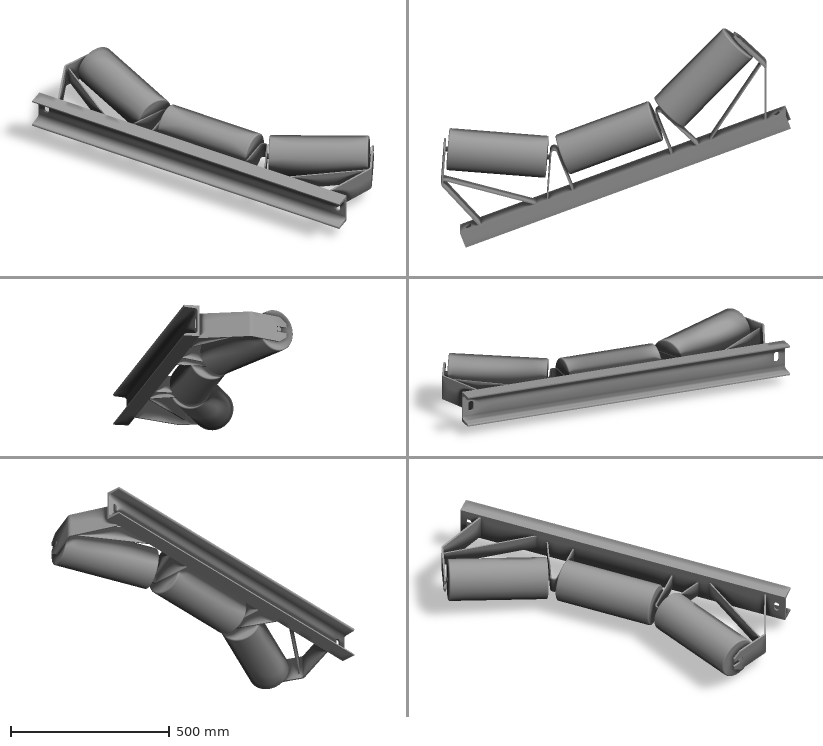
import cadquery as cq
import math


CHANNEL_LENGTH = 1100.0
CHANNEL_HEIGHT = 100.0
CHANNEL_DEPTH = 50.0
WEB_THICKNESS = 6.0
TOE_THICKNESS = 7.0
ROOT_THICKNESS = 10.0
ROOT_RADIUS = 9.0
TOE_RADIUS = 4.0
MOUNT_SLOT_WIDTH = 18.0
MOUNT_SLOT_HEIGHT = 34.0
MOUNT_SLOT_INSET = 29.0

ROLLER_DIAMETER = 133.0
ROLLER_LENGTH = 315.0
ROLLER_EDGE_RADIUS = 4.0
AXLE_DIAMETER = 16.0
TROUGH_ANGLE = 25.0
FORWARD_TILT = 2.2
CENTRE_ROLLER_Y = 118.0
CENTRE_ROLLER_Z = -14.0
WING_ROLLER_X = -349.0
WING_ROLLER_Y = 195.0
WING_ROLLER_Z = -7.0

AXLE_SLOT_WIDTH = 18.0

OUTER_HEIGHT = 80.0
OUTER_THICKNESS = 6.0
OUTER_GAP = 8.0
OUTER_BEND_Y = 167.0
OUTER_BEND_RADIUS = 12.0
OUTER_FOOT_X = -483.0
OUTER_TIP_OVERHANG = 29.0
TIP_CHAMFER_LENGTH = 28.0
TIP_CHAMFER_HEIGHT = 18.0

INNER_HEIGHT = 54.0
INNER_THICKNESS = 4.0
INNER_GAP = 8.0
INNER_BEND_RADIUS = 11.0

STRUT_THICKNESS = 4.0
STRUT_HEIGHT = 50.0
STRUT_FOOT_X = -296.0
STRUT_TOP_Y = 179.0

TROUGH = math.radians(TROUGH_ANGLE)
AXIS_DIR = cq.Vector(-math.cos(TROUGH), math.sin(TROUGH), 0)
FACE_DIR = cq.Vector(math.sin(TROUGH), math.cos(TROUGH), 0)
WING_CENTRE = cq.Vector(WING_ROLLER_X, WING_ROLLER_Y, 0)
OUTER_AXLE_LENGTH = OUTER_GAP + OUTER_THICKNESS
INNER_AXLE_LENGTH = INNER_GAP + INNER_THICKNESS


def mirrored(body):
    """The matching body on the right-hand side."""
    return body.mirror("YZ")


def upright(points, height):
    """Extrude a closed XY outline along Z, centred on Z = 0."""
    outline = [(p.x, p.y) for p in points]
    return cq.Workplane("XY").polyline(outline).close().extrude(height / 2, both=True)


def make_channel():
    """Channel with tapered flanges and a mounting slot at each end of the web."""
    half = CHANNEL_HEIGHT / 2
    web_face = -WEB_THICKNESS
    profile = [
        (0, -half),
        (-CHANNEL_DEPTH, -half),
        (-CHANNEL_DEPTH, TOE_THICKNESS - half),
        (web_face, ROOT_THICKNESS - half),
        (web_face, half - ROOT_THICKNESS),
        (-CHANNEL_DEPTH, half - TOE_THICKNESS),
        (-CHANNEL_DEPTH, half),
        (0, half),
    ]
    body = cq.Workplane("YZ").polyline(profile).close().extrude(CHANNEL_LENGTH / 2, both=True)
    for side in (-1, 1):
        root = (0, web_face, side * (half - ROOT_THICKNESS))
        toe = (0, -CHANNEL_DEPTH, side * (half - TOE_THICKNESS))
        body = body.edges(cq.selectors.NearestToPointSelector(root)).fillet(ROOT_RADIUS)
        body = body.edges(cq.selectors.NearestToPointSelector(toe)).fillet(TOE_RADIUS)
    slot_x = CHANNEL_LENGTH / 2 - MOUNT_SLOT_INSET
    slots = (
        cq.Workplane("XZ")
        .pushPoints([(-slot_x, 0), (slot_x, 0)])
        .slot2D(MOUNT_SLOT_HEIGHT, MOUNT_SLOT_WIDTH, 90)
        .extrude(CHANNEL_DEPTH)
    )
    return body.cut(slots)


def make_roller(left_axle, right_axle):
    """Roller along X about the origin, with axle ends of the given lengths."""
    shell = (
        cq.Workplane("YZ")
        .workplane(offset=-ROLLER_LENGTH / 2)
        .circle(ROLLER_DIAMETER / 2)
        .extrude(ROLLER_LENGTH)
        .edges()
        .fillet(ROLLER_EDGE_RADIUS)
    )
    axle = (
        cq.Workplane("YZ")
        .workplane(offset=-ROLLER_LENGTH / 2 - left_axle)
        .circle(AXLE_DIAMETER / 2)
        .extrude(left_axle + ROLLER_LENGTH + right_axle)
    )
    return shell.union(axle)


def make_centre_roller():
    roller = make_roller(INNER_AXLE_LENGTH, INNER_AXLE_LENGTH)
    return roller.translate((0, CENTRE_ROLLER_Y, CENTRE_ROLLER_Z))


def make_wing_roller():
    """Left wing roller, raised at its outer end and tilted forward."""
    roller = make_roller(OUTER_AXLE_LENGTH, INNER_AXLE_LENGTH)
    roller = roller.rotate((0, 0, 0), (0, 1, 0), FORWARD_TILT)
    roller = roller.rotate((0, 0, 0), (0, 0, 1), -TROUGH_ANGLE)
    return roller.translate((WING_ROLLER_X, WING_ROLLER_Y, WING_ROLLER_Z))


def wing_plane(offset):
    """Plane across the left wing axle, `offset` outward of the roller centre; local X is Z."""
    origin = WING_CENTRE + AXIS_DIR * offset
    return cq.Plane(origin=origin.toTuple(), xDir=(0, 0, 1), normal=AXIS_DIR.toTuple())


outer_mid = WING_CENTRE + AXIS_DIR * (ROLLER_LENGTH / 2 + OUTER_GAP + OUTER_THICKNESS / 2)
outer_tip = outer_mid + FACE_DIR * OUTER_TIP_OVERHANG
outer_bend = outer_mid + FACE_DIR * ((OUTER_BEND_Y - outer_mid.y) / FACE_DIR.y)
outer_foot = cq.Vector(OUTER_FOOT_X, 0, 0)


def make_outer_bracket():
    """Left outer bracket: a leaning leg bent inward into a plate slotted for the axle."""
    leg_dir = (outer_bend - outer_foot).normalized()
    leg_angle = math.atan2(-leg_dir.x, leg_dir.y)
    half = OUTER_THICKNESS / 2
    foot_half = cq.Vector(half / math.cos(leg_angle), 0, 0)
    bend_turn = TROUGH + leg_angle
    miter_dir = (AXIS_DIR + cq.Vector(-leg_dir.y, leg_dir.x, 0)).normalized()
    miter = miter_dir * (half / math.cos(bend_turn / 2))
    tip_half = AXIS_DIR * half
    body = upright([
        outer_foot - foot_half,
        outer_bend + miter,
        outer_tip + tip_half,
        outer_tip - tip_half,
        outer_bend - miter,
        outer_foot + foot_half,
    ], OUTER_HEIGHT)
    for corner, radius in (
        (outer_bend - miter, OUTER_BEND_RADIUS),
        (outer_bend + miter, OUTER_BEND_RADIUS + OUTER_THICKNESS),
    ):
        body = body.edges(cq.selectors.NearestToPointSelector(corner.toTuple())).fillet(radius)
    return body.cut(outer_corner_cuts()).cut(outer_axle_slot())


def outer_corner_cuts():
    """Wedges that bevel both tip corners of the outer bracket."""
    edge = OUTER_HEIGHT / 2
    wedges = cq.Workplane(wing_plane(ROLLER_LENGTH / 2))
    tip = OUTER_TIP_OVERHANG
    for side in (-1, 1):
        wedges = wedges.polyline([
            (side * edge, tip),
            (side * (edge - TIP_CHAMFER_HEIGHT), tip),
            (side * edge, tip - TIP_CHAMFER_LENGTH),
        ]).close()
    return wedges.extrude(OUTER_GAP + 2 * OUTER_THICKNESS)


def outer_axle_slot():
    """Open slot from the tip of the outer bracket to just below the axle."""
    length = OUTER_TIP_OVERHANG + AXLE_SLOT_WIDTH / 2
    return (
        cq.Workplane(wing_plane(ROLLER_LENGTH / 2))
        .center(0, OUTER_TIP_OVERHANG - length / 2)
        .rect(AXLE_SLOT_WIDTH, length)
        .extrude(OUTER_GAP + 2 * OUTER_THICKNESS)
    )


def make_inner_bracket():
    """Left inner bracket: a leaning leg and a straight leg joined by a round bend."""
    half = INNER_THICKNESS / 2
    leg_x = -ROLLER_LENGTH / 2 - INNER_GAP - half
    lean_mid = WING_CENTRE - AXIS_DIR * (ROLLER_LENGTH / 2 + INNER_GAP + half)
    lean_foot = lean_mid - FACE_DIR * (lean_mid.y / FACE_DIR.y)
    bend_x = leg_x - INNER_BEND_RADIUS
    bend_y = (bend_x - lean_foot.x - INNER_BEND_RADIUS / math.cos(TROUGH)) / math.tan(TROUGH)
    bend = cq.Vector(bend_x, bend_y, 0)
    outer_radius = INNER_BEND_RADIUS + half
    inner_radius = INNER_BEND_RADIUS - half
    crown_dir = cq.Vector(math.sin(-TROUGH / 2), math.cos(TROUGH / 2), 0)
    foot_half = half / math.cos(TROUGH)

    def at(point):
        return (point.x, point.y)

    right = cq.Vector(1, 0, 0)
    body = (
        cq.Workplane("XY")
        .moveTo(lean_foot.x - foot_half, 0)
        .lineTo(*at(bend + AXIS_DIR * outer_radius))
        .threePointArc(at(bend + crown_dir * outer_radius), at(bend + right * outer_radius))
        .lineTo(leg_x + half, 0)
        .lineTo(leg_x - half, 0)
        .lineTo(*at(bend + right * inner_radius))
        .threePointArc(at(bend + crown_dir * inner_radius), at(bend + AXIS_DIR * inner_radius))
        .lineTo(lean_foot.x + foot_half, 0)
        .close()
        .extrude(INNER_HEIGHT / 2, both=True)
    )
    return body.translate((0, 0, CENTRE_ROLLER_Z))


def make_strut(bracket):
    """Left strut: a flat bar from the channel up to the inside of the outer bracket bend."""
    foot = cq.Vector(STRUT_FOOT_X, 0, 0)
    top = outer_mid + FACE_DIR * ((STRUT_TOP_Y - outer_mid.y) / FACE_DIR.y)
    strut_dir = (top - foot).normalized()
    side = cq.Vector(-strut_dir.y, strut_dir.x, 0) * (STRUT_THICKNESS / 2)
    foot_half = cq.Vector(STRUT_THICKNESS / 2 / strut_dir.y, 0, 0)
    bar = upright([foot - foot_half, foot + foot_half, top - side, top + side], STRUT_HEIGHT)
    return bar.cut(bracket)


channel = make_channel()
centre_roller = make_centre_roller()
wing_roller = make_wing_roller()
outer_bracket = make_outer_bracket()
inner_bracket = make_inner_bracket().cut(wing_roller).cut(centre_roller)
strut = make_strut(outer_bracket)

bodies = [channel.val(), centre_roller.val()]
for body in (wing_roller, outer_bracket, inner_bracket, strut):
    bodies += [body.val(), mirrored(body).val()]

result = cq.Compound.makeCompound(bodies)